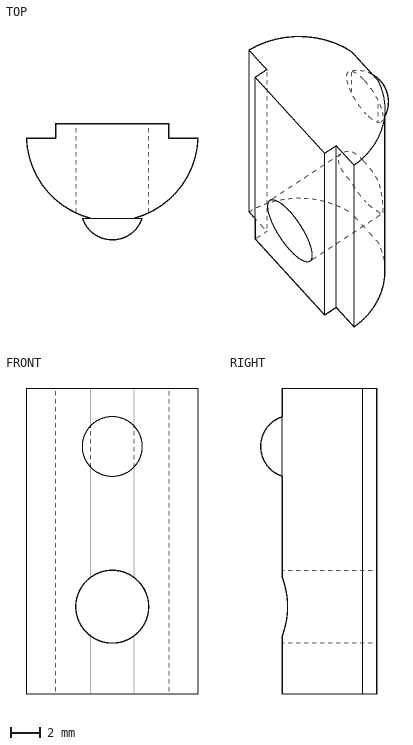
import cadquery as cq
import math

length = 21.0
width = 11.8
rib_width = 7.8
rib_height = 1.0
body_depth = 6.5
flat_width = 2.98
ball_projection = 1.5
ball_rim_diameter = 4.12
ball_from_top = 4.0
hole_diameter = 5.0
hole_from_bottom = 6.0

shoulder_y = body_depth - rib_height
half_width = width / 2
half_flat = flat_width / 2
half_rib = rib_width / 2

arc_center_y = (shoulder_y**2 + half_width**2 - half_flat**2) / (2 * shoulder_y)
arc_radius = math.hypot(half_flat, arc_center_y)
arc_mid_x = arc_radius * math.sin(math.pi / 4)
arc_mid_y = arc_center_y - arc_radius * math.cos(math.pi / 4)


def make_body():
    """Rounded bar with a front flat and a rectangular rib along its back."""
    return (
        cq.Workplane("XY")
        .moveTo(-half_flat, 0)
        .lineTo(half_flat, 0)
        .threePointArc((arc_mid_x, arc_mid_y), (half_width, shoulder_y))
        .lineTo(half_rib, shoulder_y)
        .lineTo(half_rib, body_depth)
        .lineTo(-half_rib, body_depth)
        .lineTo(-half_rib, shoulder_y)
        .lineTo(-half_width, shoulder_y)
        .threePointArc((-arc_mid_x, arc_mid_y), (-half_flat, 0))
        .close()
        .extrude(length)
    )


def make_ball_cap():
    """Spherical detent cap whose flat base rests on the front flat."""
    rim_radius = ball_rim_diameter / 2
    radius = (rim_radius**2 + ball_projection**2) / (2 * ball_projection)
    sphere_center_y = radius - ball_projection
    half_angle = math.asin(rim_radius / radius) / 2
    arc_middle = (radius * math.sin(half_angle), sphere_center_y - radius * math.cos(half_angle))
    return (
        cq.Workplane("XY")
        .lineTo(rim_radius, 0)
        .threePointArc(arc_middle, (0, -ball_projection))
        .close()
        .revolve(360, (0, 0, 0), (0, 1, 0))
        .translate((0, 0, length - ball_from_top))
    )


def make_hole():
    """Round cutter running from the front flat through the rib."""
    return (
        cq.Workplane("XZ", origin=(0, body_depth, 0))
        .center(0, hole_from_bottom)
        .circle(hole_diameter / 2)
        .extrude(body_depth)
    )


result = make_body().union(make_ball_cap()).cut(make_hole())